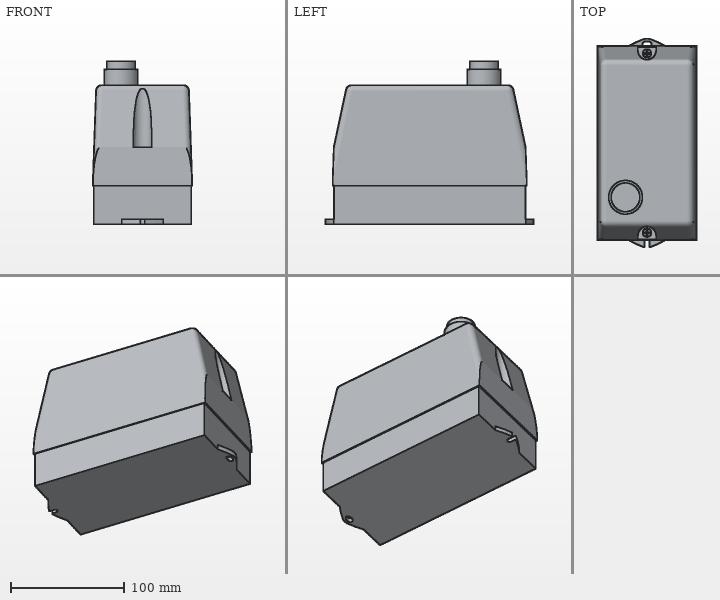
import cadquery as cq
import math

base_width = 86.3
base_length = 169.6
base_height = 34.3

tab_height = 4.8
tab_root_width = 36.5
tab_peak_y = 93.3
tab_peak_radius = 11.0
tab_shoulder_x = 9.8
tab_shoulder_y = 89.2
long_hole_length = 8.0
long_hole_width = 4.6
long_hole_y = 87.4
open_slot_width = 4.0
open_slot_end_y = 85.2
slot_mouth_radius = 1.0

cover_width = 88.0
cover_length = 171.8
rim_height = 4.2
rim_top_z = base_height + rim_height
break_z = 68.4
cover_top_z = 123.3
side_draft = 2.0
end_draft = 12.0
edge_radius = 5.5

recess_width = 16.0
recess_back_y = 73.7
screw_y = 79.3
screw_head_diameter = 7.5
screw_head_sink = 0.5
driver_slot_width = 1.1
driver_slot_depth = 1.0
short_slot_length = 4.8

button_x = -19.0
button_y = -48.0
collar_diameter = 29.9
collar_top_z = 137.2
cap_diameter = 25.5
cap_top_z = 144.4


def inset(height, draft):
    """Horizontal distance a drafted wall moves inward over a height."""
    return height * math.tan(math.radians(draft))


def mirrored_prism(plane, half_outline, thickness):
    """Prism, symmetric on both sides of a plane, from the right half of a symmetric outline."""
    left = [(-u, z) for u, z in reversed(half_outline)]
    return cq.Workplane(plane).polyline(half_outline + left).close().extrude(thickness / 2, both=True)


def make_tab(side):
    """Tab with a sharp peak at the +Y (side=1) or -Y (side=-1) end of the base."""
    root_x = tab_root_width / 2
    root_y = side * base_length / 2
    shoulder_y = side * tab_shoulder_y
    return (
        cq.Workplane("XY")
        .moveTo(-root_x, 0)
        .lineTo(-root_x, root_y)
        .lineTo(-tab_shoulder_x, shoulder_y)
        .lineTo(0, side * tab_peak_y)
        .lineTo(tab_shoulder_x, shoulder_y)
        .lineTo(root_x, root_y)
        .lineTo(root_x, 0)
        .close()
        .extrude(tab_height)
    )


def make_holed_tab():
    long_hole = (
        cq.Workplane("XY")
        .center(0, long_hole_y)
        .slot2D(long_hole_length, long_hole_width)
        .extrude(tab_height)
    )
    return make_tab(1).edges("|Z and >Y").fillet(tab_peak_radius).cut(long_hole)


def make_slotted_tab():
    slot_length = tab_peak_y - open_slot_end_y + open_slot_width
    slot = (
        cq.Workplane("XY")
        .center(0, -open_slot_end_y - slot_length / 2)
        .slot2D(slot_length, open_slot_width, 90)
        .extrude(tab_height)
    )
    tab = make_tab(-1).cut(slot)
    return tab.edges("|Z and <Y").fillet(slot_mouth_radius)


def make_base():
    block = cq.Workplane("XY").box(base_width, base_length, base_height, centered=(True, True, False))
    return block.union(make_holed_tab()).union(make_slotted_tab())


def make_cover_shell():
    """Rim plus a tapered hood whose steep ends meet the sloped ends at the break height."""
    half_width = cover_width / 2
    half_length = cover_length / 2
    hood_height = cover_top_z - rim_top_z
    break_y = half_length - inset(break_z - rim_top_z, side_draft)
    sloped_foot_y = break_y + inset(break_z - rim_top_z, end_draft)
    top_y = break_y - inset(cover_top_z - break_z, end_draft)
    top_x = half_width - inset(hood_height, side_draft)

    across = mirrored_prism("XZ", [(half_width, rim_top_z), (top_x, cover_top_z)], 2 * sloped_foot_y)
    along = mirrored_prism("YZ", [(sloped_foot_y, rim_top_z), (top_y, cover_top_z)], cover_width)
    hood = across.intersect(along)
    hood = hood.faces(">Z or >X or <X").edges("not <Z").fillet(edge_radius)

    end_outline = [(half_length, rim_top_z), (break_y, break_z), (top_y, cover_top_z)]
    hood = hood.intersect(mirrored_prism("YZ", end_outline, cover_width))

    rim = cq.Workplane("XY", origin=(0, 0, base_height)).box(
        cover_width, cover_length, rim_height, centered=(True, True, False)
    )
    return rim.union(hood)


def make_screw_recess(side):
    """Upright round-backed recess with a flat floor at the break height."""
    radius = recess_width / 2
    center_y = recess_back_y + radius
    outward = cover_length / 2 - center_y
    height = cover_top_z - break_z
    floor = cq.Workplane("XY", origin=(0, side * center_y, break_z))
    back = floor.circle(radius).extrude(height)
    mouth = floor.center(0, side * outward / 2).rect(recess_width, outward).extrude(height)
    return back.union(mouth)


def make_screw_head_cut(side):
    """Sunken round screw head with a slot right across it and a short slot crossing that."""
    floor = cq.Workplane("XY", origin=(0, side * screw_y, break_z))
    slot_bottom = screw_head_sink + driver_slot_depth
    sink = floor.circle(screw_head_diameter / 2).extrude(-screw_head_sink)
    head_area = floor.circle(screw_head_diameter / 2).extrude(-slot_bottom)
    long_slot = floor.rect(screw_head_diameter, driver_slot_width).extrude(-slot_bottom)
    short_slot = floor.rect(driver_slot_width, short_slot_length).extrude(-slot_bottom)
    return sink.union(long_slot.intersect(head_area)).union(short_slot)


def make_button():
    foot = cq.Workplane("XY", origin=(button_x, button_y, cover_top_z))
    collar = foot.circle(collar_diameter / 2).extrude(collar_top_z - cover_top_z)
    cap = foot.circle(cap_diameter / 2).extrude(cap_top_z - cover_top_z)
    return collar.union(cap)


def make_cover():
    cover = make_cover_shell().union(make_button())
    for side in (-1, 1):
        cover = cover.cut(make_screw_recess(side)).cut(make_screw_head_cut(side))
    return cover


base = make_base()
cover = make_cover()

result = cq.Compound.makeCompound([base.val(), cover.val()])